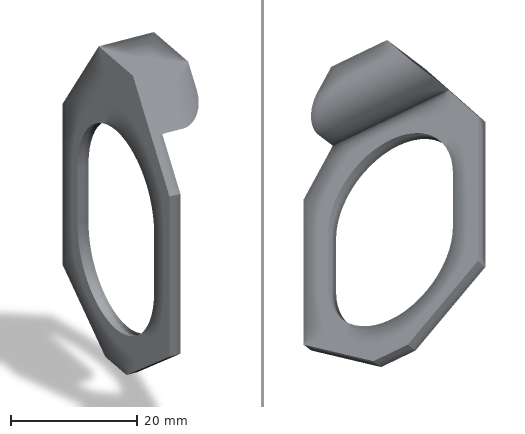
import cadquery as cq

height = 54.9
width = 35.35
top_flat = 11.3
bottom_flat = 6.95
top_taper_height = 16.1
bottom_taper_height = 10.0
plate_thickness = 2.0

slot_width = 25.25
slot_height = 35.8
slot_bottom = 6.65

total_depth = 10.0
block_height = 8.1
block_edge_radius = 4.35


def plate_prism(depth):
    """Octagonal outline extruded from the front face toward +Y."""
    shoulder_top = height - top_taper_height
    return (
        cq.Workplane("XZ")
        .moveTo(-bottom_flat / 2, 0)
        .lineTo(bottom_flat / 2, 0)
        .lineTo(width / 2, bottom_taper_height)
        .lineTo(width / 2, shoulder_top)
        .lineTo(top_flat / 2, height)
        .lineTo(-top_flat / 2, height)
        .lineTo(-width / 2, shoulder_top)
        .lineTo(-width / 2, bottom_taper_height)
        .close()
        .extrude(-depth)
    )


def slot_cutter():
    """Obround through the plate thickness."""
    return (
        cq.Workplane("XZ")
        .center(0, slot_bottom + slot_height / 2)
        .slot2D(slot_height, slot_width, 90)
        .extrude(-plate_thickness)
    )


def top_block():
    """Top of the outline at full depth, with its lower rear edge rounded."""
    top_zone = cq.Workplane("XY").box(
        width, total_depth, block_height, centered=(True, False, False)
    ).translate((0, 0, height - block_height))
    block = plate_prism(total_depth).intersect(top_zone)
    return block.faces(">Y").edges("<Z").fillet(block_edge_radius)


result = plate_prism(plate_thickness).cut(slot_cutter()).union(top_block())